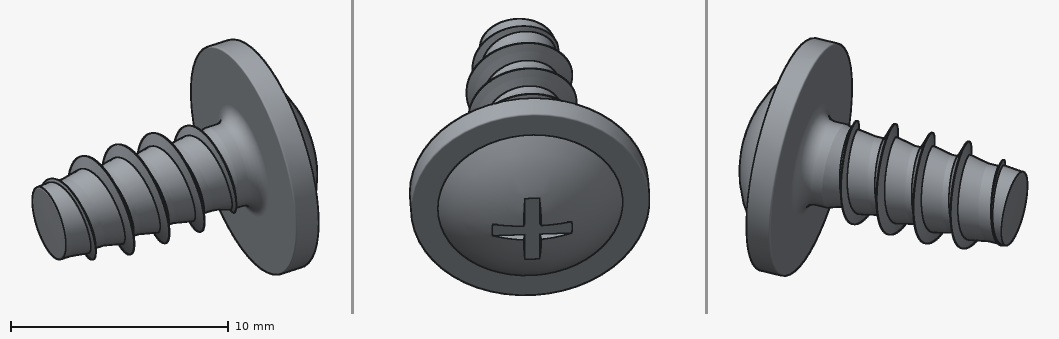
import cadquery as cq
import math


FLANGE_DIAMETER = 11.0
FLANGE_RADIUS = FLANGE_DIAMETER / 2
FLANGE_THICKNESS = 1.2
FLANGE_EDGE_RADIUS = 0.08
DOME_RADIUS = 4.26
DOME_HEIGHT = 1.97
SLOT_DEPTH = 0.32
SLOT_FLOOR_WIDTH = 0.68
SLOT_MOUTH_WIDTH = 0.84

SHANK_LENGTH = 9.97
TIP_RISE = 0.03
COLLAR_RADIUS = 1.97
COLLAR_LENGTH = 1.25
COLLAR_FILLET = 0.71
CORE_RADIUS = 1.75
CORE_TAPER_LENGTH = 0.78
TIP_RADIUS = 1.65
TIP_EDGE = 0.03

PITCH = 1.8
CREST_DIAMETER = 5.03
CREST_RADIUS = CREST_DIAMETER / 2
CREST_FLAT = 0.04
KNEE_RADIUS = 2.14
KNEE_OFFSET = 0.17
HEAD_ROOT_OFFSET = 0.37
TIP_ROOT_RADIUS = 1.95
TIP_ROOT_OFFSET = 0.2
RAMP_END_OFFSET = 1.33
ROOT_OVERLAP = 0.04
CREST_AT_PLUS_X = 1.46
START_RADIUS = 2.15
FULL_THREAD_START = 3.0
FULL_THREAD_END = 7.42
SECTIONS_PER_HALF_TURN = 6


def make_head():
    flange = cq.Workplane("XY").circle(FLANGE_RADIUS).extrude(-FLANGE_THICKNESS)
    flange = flange.edges("%CIRCLE").fillet(FLANGE_EDGE_RADIUS)

    sphere_radius = (DOME_RADIUS**2 + DOME_HEIGHT**2) / (2 * DOME_HEIGHT)
    apex = -FLANGE_THICKNESS - DOME_HEIGHT
    sphere = cq.Workplane("XY").sphere(sphere_radius).translate((0, 0, apex + sphere_radius))
    dome_space = cq.Workplane("XY").workplane(offset=apex).circle(FLANGE_RADIUS).extrude(DOME_HEIGHT)
    head = flange.union(sphere.intersect(dome_space))

    slot = (
        cq.Workplane("XZ")
        .moveTo(-SLOT_FLOOR_WIDTH / 2, apex + SLOT_DEPTH)
        .lineTo(SLOT_FLOOR_WIDTH / 2, apex + SLOT_DEPTH)
        .lineTo(SLOT_MOUTH_WIDTH / 2, apex)
        .lineTo(-SLOT_MOUTH_WIDTH / 2, apex)
        .close()
        .extrude(DOME_RADIUS, both=True)
    )
    for angle in (0, 90):
        head = head.cut(slot.rotate((0, 0, 0), (0, 0, 1), angle))
    return head


def make_shank():
    fillet_foot = COLLAR_RADIUS + COLLAR_FILLET
    profile = (
        cq.Workplane("XZ")
        .moveTo(0, -FLANGE_THICKNESS / 2)
        .lineTo(fillet_foot, -FLANGE_THICKNESS / 2)
        .lineTo(fillet_foot, 0)
        .radiusArc((COLLAR_RADIUS, COLLAR_FILLET), COLLAR_FILLET)
        .lineTo(COLLAR_RADIUS, COLLAR_LENGTH)
        .lineTo(CORE_RADIUS, COLLAR_LENGTH + CORE_TAPER_LENGTH)
        .lineTo(CORE_RADIUS, SHANK_LENGTH - TIP_EDGE)
        .lineTo(TIP_RADIUS, SHANK_LENGTH)
        .lineTo(0, SHANK_LENGTH + TIP_RISE)
        .close()
    )
    return profile.revolve(360, (0, 0, 0), (0, 1, 0))


def crest_radius_at(depth):
    """Crest radius of the thread: it rises from the collar and sinks into the tip."""
    rise = (CREST_RADIUS - START_RADIUS) / (FULL_THREAD_START - COLLAR_LENGTH)
    fall = (CREST_RADIUS - CORE_RADIUS) / (SHANK_LENGTH - FULL_THREAD_END)
    return min(
        CREST_RADIUS,
        CREST_RADIUS - rise * (FULL_THREAD_START - depth),
        CREST_RADIUS - fall * (depth - FULL_THREAD_END),
    )


def thread_section(turn):
    """Section of the thread in the half-plane reached after the given number of turns."""
    depth = CREST_AT_PLUS_X + turn * PITCH
    fullness = (crest_radius_at(depth) - CORE_RADIUS) / (CREST_RADIUS - CORE_RADIUS)

    def point(radius, offset):
        return (CORE_RADIUS + fullness * (radius - CORE_RADIUS), depth + fullness * offset)

    section = [
        (CORE_RADIUS - ROOT_OVERLAP, depth - fullness * HEAD_ROOT_OFFSET),
        point(KNEE_RADIUS, -KNEE_OFFSET),
        point(CREST_RADIUS, -CREST_FLAT / 2),
        point(CREST_RADIUS, CREST_FLAT / 2),
        point(TIP_ROOT_RADIUS, TIP_ROOT_OFFSET),
        (CORE_RADIUS - ROOT_OVERLAP, depth + RAMP_END_OFFSET),
    ]
    wire = cq.Workplane("XZ").polyline(section).close().wires().val()
    return wire.rotate(cq.Vector(0, 0, 0), cq.Vector(0, 0, 1), 360 * turn)


def make_thread_pieces():
    """Half-turn pieces of the thread, trimmed to the length between collar and tip."""
    threaded_space = (
        cq.Workplane("XY")
        .workplane(offset=COLLAR_LENGTH)
        .circle(FLANGE_RADIUS)
        .extrude(SHANK_LENGTH - TIP_EDGE - COLLAR_LENGTH)
    )
    first_turn = (COLLAR_LENGTH - TIP_ROOT_OFFSET - CREST_AT_PLUS_X) / PITCH
    last_turn = (SHANK_LENGTH - CREST_AT_PLUS_X) / PITCH
    steps = SECTIONS_PER_HALF_TURN
    first = math.floor(2 * steps * first_turn)
    last = math.floor(2 * steps * last_turn)

    pieces = []
    for start in range(first, last, steps):
        end = min(start + steps, last)
        sections = [thread_section(i / (2 * steps)) for i in range(start, end + 1)]
        piece = cq.Workplane(cq.Solid.makeLoft(sections))
        pieces.append(piece.intersect(threaded_space))
    return pieces


shank = make_shank()
for thread_piece in make_thread_pieces():
    shank = shank.union(thread_piece)
screw = make_head().union(shank)
result = screw.rotate((0, 0, 0), (1, 0, 0), 90)